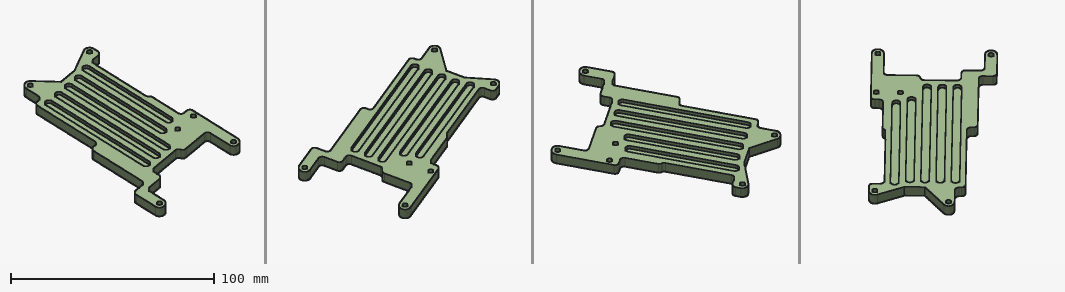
import cadquery as cq
import math

LENGTH = 107.0
WIDTH = 61.8
THICKNESS = 6.3
CORNER_RADIUS = 2.0

MIN_LINE = 0.001

EAR_RADIUS = 3.0
ARM_WIDTH = 6.1
ARM_RADIUS = ARM_WIDTH / 2
FRONT_EAR_CENTER = (EAR_RADIUS, 22.5)
BACK_EAR_CENTER = (10.1, WIDTH - EAR_RADIUS)
BACK_EAR_RIGHT = 14.9
ARM_HOLE_X = LENGTH - ARM_RADIUS

LEFT_EDGE = 12.8
LEFT_EDGE_FRONT = 34.2
LEFT_EDGE_BACK = 44.3
FRONT_EDGE_LEFT = 14.2
FRONT_EDGE_RIGHT = 8.9
FRONT_STEP_X = 54.0
ARM_ROOT_X = 89.3
FRONT_ARM_INNER_X = 93.1
NOTCH_X = 86.1
NOTCH_FRONT = 17.5
NOTCH_BACK = 37.7
BACK_EDGE_LEFT = 54.2
BACK_EDGE_RIGHT = WIDTH - ARM_WIDTH
BACK_STEP_X = 52.1
BACK_BLOCK_LEFT = 72.5

HOLE_DIAMETER = 2.6
INNER_HOLE_X = 77.5
INNER_HOLES_Y = (47.3, 59.2)

SLOT_WIDTH = 4.2
SLOT_DEPTH = 2.1
SLOT_PITCH = 7.5
FIRST_SLOT_Y = 19.3
SLOT_ENDS = [(15.8, 83.1), (15.8, 83.1), (15.8, 83.1), (15.8, 74.5), (14.2, 72.0)]


def ear_corner(start, center, side, edge_y):
    """Where the tangent from start to an ear meets the ear's straight edge."""
    dx = center[0] - start[0]
    dy = center[1] - start[1]
    angle = math.atan2(dy, dx) + side * math.asin(EAR_RADIUS / math.hypot(dx, dy))
    x = start[0] + (edge_y - start[1]) / math.tan(angle)
    return (x, edge_y, EAR_RADIUS)


def half_step_run(height, radius):
    """Half the run, along the edges, between the corners of two touching arcs."""
    turn = math.acos(1 - height / (2 * radius))
    tangent = radius * math.tan(turn / 2)
    return tangent * math.cos(turn)


def rounded_outline(corners):
    """Closed outline through (x, y, radius) corners, rounded by arcs; a zero radius stays sharp."""
    arcs = []
    for i, (x, y, radius) in enumerate(corners):
        corner = cq.Vector(x, y)
        back = (cq.Vector(*corners[i - 1][:2]) - corner).normalized()
        ahead = (cq.Vector(*corners[(i + 1) % len(corners)][:2]) - corner).normalized()
        half_angle = back.getAngle(ahead) / 2
        tangent = radius / math.tan(half_angle)
        bisector = (back + ahead).normalized()
        middle = corner + bisector * (radius / math.sin(half_angle) - radius)
        arcs.append((corner + back * tangent, middle, corner + ahead * tangent, radius))

    outline = cq.Workplane("XY").moveTo(*arcs[0][0].toTuple()[:2])
    position = arcs[0][0]
    for start, middle, end, radius in arcs:
        if (start - position).Length > MIN_LINE:
            outline = outline.lineTo(start.x, start.y)
            position = start
        if radius > 0:
            outline = outline.threePointArc((middle.x, middle.y), (end.x, end.y))
            position = end
    return outline.close()


def make_plate():
    r = CORNER_RADIUS
    left_front = (LEFT_EDGE, LEFT_EDGE_FRONT)
    left_back = (LEFT_EDGE, LEFT_EDGE_BACK)
    front_ear_edge = FRONT_EAR_CENTER[1] - EAR_RADIUS
    notch_run = half_step_run(ARM_ROOT_X - NOTCH_X, r)
    back_run = half_step_run(BACK_EDGE_RIGHT - BACK_EDGE_LEFT, r)
    corners = [
        ear_corner(left_front, FRONT_EAR_CENTER, -1, front_ear_edge),
        (LEFT_EDGE, front_ear_edge, r),
        (LEFT_EDGE, FRONT_EDGE_LEFT, r),
        (FRONT_STEP_X, FRONT_EDGE_LEFT, r),
        (FRONT_STEP_X, FRONT_EDGE_RIGHT, r),
        (ARM_ROOT_X, FRONT_EDGE_RIGHT, r),
        (ARM_ROOT_X, 0, r),
        (LENGTH, 0, ARM_RADIUS),
        (LENGTH, ARM_WIDTH, ARM_RADIUS),
        (FRONT_ARM_INNER_X, ARM_WIDTH, r),
        (FRONT_ARM_INNER_X, NOTCH_FRONT, r),
        (NOTCH_X, NOTCH_FRONT, r),
        (NOTCH_X, NOTCH_BACK - notch_run, r),
        (ARM_ROOT_X, NOTCH_BACK + notch_run, r),
        (ARM_ROOT_X, BACK_EDGE_RIGHT, r),
        (LENGTH, BACK_EDGE_RIGHT, ARM_RADIUS),
        (LENGTH, WIDTH, ARM_RADIUS),
        (BACK_BLOCK_LEFT, WIDTH, r),
        (BACK_BLOCK_LEFT, BACK_EDGE_RIGHT, r),
        (BACK_STEP_X + back_run, BACK_EDGE_RIGHT, r),
        (BACK_STEP_X - back_run, BACK_EDGE_LEFT, r),
        (BACK_EAR_RIGHT, BACK_EDGE_LEFT, r),
        (BACK_EAR_RIGHT, WIDTH, r),
        ear_corner(left_back, BACK_EAR_CENTER, 1, WIDTH),
        (*left_back, 0),
        (*left_front, 0),
    ]
    return rounded_outline(corners).extrude(THICKNESS)


def make_holes():
    centers = [
        FRONT_EAR_CENTER,
        BACK_EAR_CENTER,
        (ARM_HOLE_X, ARM_RADIUS),
        (ARM_HOLE_X, WIDTH - ARM_RADIUS),
    ]
    centers += [(INNER_HOLE_X, y) for y in INNER_HOLES_Y]
    return cq.Workplane("XY").pushPoints(centers).circle(HOLE_DIAMETER / 2).extrude(THICKNESS)


def make_slot(left, right, y):
    return (
        cq.Workplane("XY", origin=((left + right) / 2, y, THICKNESS))
        .slot2D(right - left, SLOT_WIDTH)
        .extrude(-SLOT_DEPTH)
    )


result = make_plate().cut(make_holes())
for row, (left_end, right_end) in enumerate(SLOT_ENDS):
    result = result.cut(make_slot(left_end, right_end, FIRST_SLOT_Y + row * SLOT_PITCH))